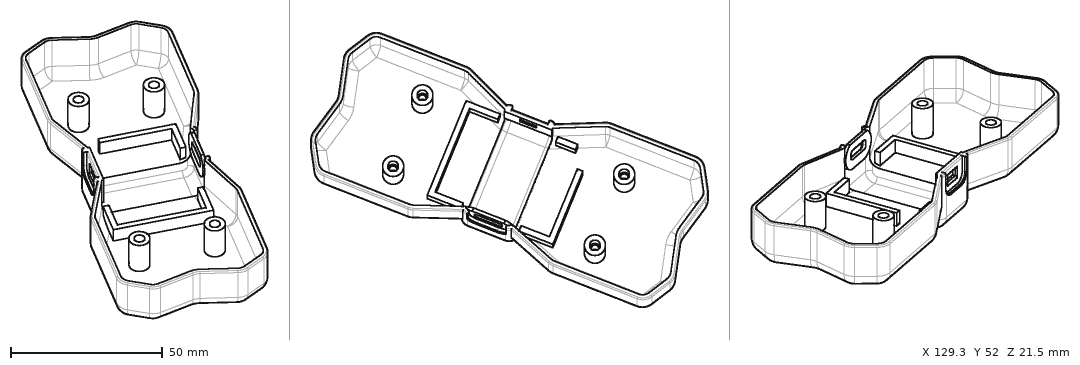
import cadquery as cq

wall = 1.5
length = 129.3
width = 52.0
shell_depth = 16.5
edge_radius = 5.0
rim_radius = 0.5
notch_depth = 3.62
notch_radius = 10.0
lobe_tip_y = 14.5
corner_inset = 3.75
shoulder_x = 25.9
neck_x = 8.4
neck_back_y = 14.5
neck_front_y = 13.3

tub_length = 20.0
tub_width = 40.0
tub_offset_y = 0.5
tub_depth = 21.5
tub_side_radius = 3.2
pad_back_y = 17.7
pad_front_y = -16.5
pad_width = 17.0
pad_height = 10.4
pad_center_z = -4.7
pad_corner_radius = 5.0

recess_radius = 3.2
recess_chamfer = 0.4
front_recess_width = 13.0
front_recess_depth = 9.0
front_recess_floor_y = -18.1
back_recess_width = 13.4
back_recess_depth = 9.0
back_recess_floor_y = 18.9
opening_z = -4.6
port_width = 5.8
port_height = 2.7
port_flare_width = 6.6
port_flare_height = 4.3
port_flare_depth = 0.6
slot_width = 10.0
slot_height = 3.5
slot_radius = 1.2

post_x = 36.0
post_spacing_y = 26.0
post_offset_y = 0.75
post_diameter = 7.0
post_height = 11.5
screw_hole_diameter = 2.5
screw_counterbore_diameter = 3.5
screw_counterbore_depth = 5.0

rib_thickness = 2.0
rib_height = 5.0
rib_frame_length = 44.8
rib_frame_width = 34.6
rib_arm_end_x = 10.3
left_rib_end_y = -9.5
short_rib_start_x = -17.4

floor_z = -shell_depth + wall
tub_back_y = tub_offset_y + tub_width / 2
tub_front_y = tub_offset_y - tub_width / 2


def box(x_range, y_range, z_range):
    """Axis-aligned block between the given limits."""
    lows, highs = zip(x_range, y_range, z_range)
    sizes = [high - low for low, high in zip(lows, highs)]
    return cq.Workplane("XY").box(*sizes, centered=False).translate(lows)


def flat_floor_outline():
    """Outline of the flat bottom; the walls are offsets of this outline."""
    tip_x = length / 2 - edge_radius
    side_y = width / 2 - edge_radius
    corner_x = tip_x - corner_inset
    notch_x = tip_x - notch_depth
    right_back = [(neck_x, neck_back_y), (shoulder_x, side_y), (corner_x, side_y), (tip_x, lobe_tip_y)]
    right_front = [(neck_x, -neck_front_y), (shoulder_x, -side_y), (corner_x, -side_y), (tip_x, -lobe_tip_y)]
    right = right_back + [(notch_x, 0)] + right_front[::-1]
    left = [(-x, y) for x, y in reversed(right)]
    plate = cq.Workplane("XY").polyline(right + left).close().extrude(1)
    notch_edges = plate.edges(cq.selectors.BoxSelector((-length, -1, 0), (length, 1, 1))).edges("|Z")
    return notch_edges.fillet(notch_radius).faces("<Z").wires().toPending()


def lobed_body(inset):
    """Double-lobed solid whose walls and bottom lie the given distance inside the shell surface."""
    radius = edge_radius - inset
    depth = shell_depth - inset
    body = flat_floor_outline().offset2D(radius).extrude(depth).translate((0, 0, -depth))
    return body.faces("<Z").edges().fillet(radius)


def tub_body(inset):
    """Round-edged block across the neck, the given distance inside the tub surface."""
    half_length = tub_length / 2 - inset
    depth = tub_depth - inset
    y_range = (tub_front_y + inset, tub_back_y - inset)
    block = box((-half_length, half_length), y_range, (-depth, 0))
    block = block.faces("<Z").edges("|X").fillet(edge_radius - inset)
    return block.faces("<X or >X").edges("not >Z").fillet(tub_side_radius - inset)


def cavity():
    """Hollow of both lobes and the tub, less the thickened pads on the neck walls."""
    pad_x = (-pad_width / 2, pad_width / 2)
    pad_bottom_z = pad_center_z - pad_height / 2
    pad_top_z = pad_center_z + pad_height / 2
    back_pad = box(pad_x, (pad_back_y, tub_back_y), (pad_bottom_z, pad_top_z))
    back_pad = back_pad.edges("|Y").fillet(pad_corner_radius)
    front_pad = box(pad_x, (tub_front_y, pad_front_y), (pad_bottom_z, 0))
    return lobed_body(wall).union(tub_body(wall)).cut(back_pad).cut(front_pad)


def with_rim_rounded(body):
    """Body with its outer top edge rounded."""
    return body.faces(">Z").edges().fillet(rim_radius)


def recess(recess_width, recess_depth, floor_y, outer_y):
    """Round-cornered recess, open at the rim, whose mouth is flared by a chamfer."""
    depth = abs(outer_y - floor_y)
    direction = 1 if floor_y > outer_y else -1

    def profile(margin):
        plane = cq.Plane((0, outer_y, 0), xDir=(1, 0, 0), normal=(0, direction, 0))
        width_at_margin = recess_width + 2 * margin
        height = 2 * (recess_depth + margin)
        outline = cq.Sketch().rect(width_at_margin, height).vertices().fillet(recess_radius + margin)
        return cq.Workplane(plane).placeSketch(outline)

    flare = profile(recess_chamfer).extrude(recess_chamfer, taper=45)
    return profile(0).extrude(depth).union(flare)


def with_front_recess_rim_rounded(body):
    """Body with the top edge of the front recess floor rounded."""
    reach = rim_radius / 4
    low_corner = (-reach, front_recess_floor_y - reach, -reach)
    high_corner = (reach, front_recess_floor_y + reach, reach)
    return body.edges(cq.selectors.BoxSelector(low_corner, high_corner)).fillet(rim_radius)


def port_opening():
    """Rectangular port through the front wall with a flared mouth."""
    mouth = cq.Workplane("XZ", origin=(0, front_recess_floor_y, opening_z))
    mouth = mouth.rect(port_flare_width, port_flare_height)
    flare = mouth.workplane(offset=-port_flare_depth).rect(port_width, port_height).loft()
    half_width = port_width / 2
    half_height = port_height / 2
    z_range = (opening_z - half_height, opening_z + half_height)
    through = box((-half_width, half_width), (front_recess_floor_y, pad_front_y), z_range)
    return flare.union(through)


def slot_opening():
    """Round-cornered slot through the back wall."""
    half_width = slot_width / 2
    half_height = slot_height / 2
    z_range = (opening_z - half_height, opening_z + half_height)
    slot = box((-half_width, half_width), (pad_back_y, tub_back_y), z_range)
    return slot.edges("|Y").fillet(slot_radius)


def screw_posts():
    """Four posts with blind, counterbored screw holes."""
    post = cq.Workplane("XY", origin=(0, 0, floor_z)).circle(post_diameter / 2).extrude(post_height)
    top = post.faces(">Z").workplane()
    post = top.cboreHole(
        screw_hole_diameter, screw_counterbore_diameter, screw_counterbore_depth, post_height
    )
    posts = cq.Workplane("XY")
    for x in (-post_x, post_x):
        for side in (-1, 1):
            y = post_offset_y + side * post_spacing_y / 2
            posts = posts.union(post.translate((x, y, 0)))
    return posts


def ribs():
    """Ribs on the lobe floors that frame the neck, open at the front of the left lobe."""
    end_x = rib_frame_length / 2
    side_y = rib_frame_width / 2
    back = (side_y - rib_thickness, side_y)
    front = (-side_y, -side_y + rib_thickness)
    outlines = [
        ((rib_arm_end_x, end_x), back),
        ((rib_arm_end_x, end_x), front),
        ((end_x - rib_thickness, end_x), (-side_y, side_y)),
        ((-end_x, -rib_arm_end_x), back),
        ((-end_x, -end_x + rib_thickness), (left_rib_end_y, side_y)),
        ((short_rib_start_x, -rib_arm_end_x), front),
    ]
    frame = cq.Workplane("XY")
    z_range = (floor_z - wall / 2, floor_z + rib_height)
    for x_range, y_range in outlines:
        frame = frame.union(box(x_range, y_range, z_range))
    return frame


front_recess = recess(front_recess_width, front_recess_depth, front_recess_floor_y, tub_front_y)
back_recess = recess(back_recess_width, back_recess_depth, back_recess_floor_y, tub_back_y)
body = with_rim_rounded(lobed_body(0).union(tub_body(0)))
body = with_front_recess_rim_rounded(body.cut(front_recess).cut(back_recess))
shell = body.cut(cavity()).cut(port_opening()).cut(slot_opening())
result = shell.union(screw_posts()).union(ribs())